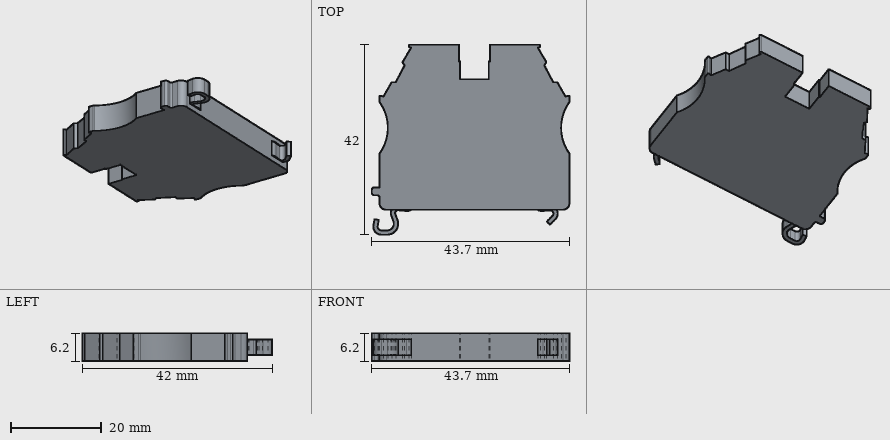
import cadquery as cq
import math

BODY_THICKNESS = 6.2
BODY_HALF_WIDTH = 21.0
BODY_HEIGHT = 36.5
BASE_CORNER_RADIUS = 1.5

SHOULDER_CORNERS = [
    (BODY_HALF_WIDTH, 25.3, 0.2),
    (20.1, 25.05, 0),
    (18.3, 28.2, 0),
    (17.4, 28.2, 0),
    (15.45, 31.9, 0),
    (15.9, 32.6, 0),
    (14.0, 35.85, 0),
    (14.5, 35.9, 0.2),
    (14.5, BODY_HEIGHT, 0.25),
]

RECESS_CENTRE_Y = 18.12
RECESS_CHORD = 11.44
RECESS_DEPTH = 1.85
RECESS_UPPER_EDGE_RADIUS = 0.6

SLOT_MOUTH_WIDTH = 6.8
SLOT_INNER_WIDTH = 6.3
SLOT_STEP_Y = 32.8
SLOT_FLOOR_Y = 28.85

TAB_LENGTH = 1.7
TAB_BOTTOM_Y = 3.2
TAB_TOP_Y = 5.0
TAB_TIP_RADIUS = 0.6
TAB_ROOT_RADIUS = 0.4

STRIP_THICKNESS = 1.0
STRIP_WIDTH = 3.5

HOOK_CENTRELINE = [
    (-21.6, -2.1, 0),
    (-22.1, -5.0, 1.3),
    (-16.47, -5.0, 1.95),
    (-18.54, 0.56, 1.1),
    (-14.4, 0.17, 1.4),
    (-13.4, 1.17, 0),
]
CATCH_CENTRELINE = [
    (16.3, -2.92, 0),
    (19.89, 0.69, 1.2),
    (14.4, 0.17, 1.4),
    (13.4, 1.17, 0),
]


def unit_direction(start, end):
    """Unit vector pointing from start to end."""
    length = math.hypot(end[0] - start[0], end[1] - start[1])
    return (end[0] - start[0]) / length, (end[1] - start[1]) / length


def corner_arc(before, corner, after):
    """Start, middle and end points of the arc that rounds a corner."""
    x, y, radius = corner
    ux, uy = unit_direction(corner, before)
    vx, vy = unit_direction(corner, after)
    half_angle = math.acos(ux * vx + uy * vy) / 2
    tangent_length = radius / math.tan(half_angle)
    arc_gap = radius / math.sin(half_angle) - radius
    bx, by = unit_direction((0, 0), (ux + vx, uy + vy))
    start = (x + ux * tangent_length, y + uy * tangent_length)
    middle = (x + bx * arc_gap, y + by * arc_gap)
    end = (x + vx * tangent_length, y + vy * tangent_length)
    return start, middle, end


def rounded_plate(corners, thickness, bottom_z):
    """Extrude a closed outline of (X, Y, corner radius) points."""
    outline = cq.Workplane("XY", origin=(0, 0, bottom_z)).moveTo(*corners[0][:2])
    for index in range(1, len(corners)):
        corner = corners[index]
        if corner[2] > 0:
            after = corners[(index + 1) % len(corners)]
            start, middle, end = corner_arc(corners[index - 1], corner, after)
            outline = outline.lineTo(*start).threePointArc(middle, end)
        else:
            outline = outline.lineTo(*corner[:2])
    return outline.close().extrude(thickness)


def strip_side(centreline, offset):
    """Offset a bent centreline to its left, keeping the bends concentric."""
    side = []
    last = len(centreline) - 1
    for index, (x, y, radius) in enumerate(centreline):
        before = centreline[max(index - 1, 0)]
        here = centreline[index]
        after = centreline[min(index + 1, last)]
        arriving = unit_direction(before, here) if index > 0 else unit_direction(here, after)
        leaving = unit_direction(here, after) if index < last else arriving
        cosine = arriving[0] * leaving[0] + arriving[1] * leaving[1]
        turn = arriving[0] * leaving[1] - arriving[1] * leaving[0]
        miter = offset / (1 + cosine)
        side_x = x - (arriving[1] + leaving[1]) * miter
        side_y = y + (arriving[0] + leaving[0]) * miter
        side_radius = radius - math.copysign(offset, offset * turn) if radius > 0 else 0
        side.append((side_x, side_y, side_radius))
    return side


def make_clip(centreline):
    """Bent strip of constant thickness, centred in the housing thickness."""
    left_side = strip_side(centreline, STRIP_THICKNESS / 2)
    right_side = strip_side(centreline, -STRIP_THICKNESS / 2)
    bottom_z = (BODY_THICKNESS - STRIP_WIDTH) / 2
    return rounded_plate(left_side + right_side[::-1], STRIP_WIDTH, bottom_z)


def make_body():
    """Plate with a release tab on the left and mirrored stepped shoulders."""
    tab_tip_x = -BODY_HALF_WIDTH - TAB_LENGTH
    right_flank = SHOULDER_CORNERS
    left_flank = [(-x, y, radius) for x, y, radius in reversed(SHOULDER_CORNERS)]
    tab = [
        (-BODY_HALF_WIDTH, TAB_TOP_Y, 0),
        (tab_tip_x, TAB_TOP_Y, TAB_TIP_RADIUS),
        (tab_tip_x, TAB_BOTTOM_Y, TAB_TIP_RADIUS),
        (-BODY_HALF_WIDTH, TAB_BOTTOM_Y, TAB_ROOT_RADIUS),
    ]
    base = [
        (0, 0, 0),
        (BODY_HALF_WIDTH, 0, BASE_CORNER_RADIUS),
    ]
    left_base_corner = [(-BODY_HALF_WIDTH, 0, BASE_CORNER_RADIUS)]
    outline = base + right_flank + left_flank + tab + left_base_corner
    return rounded_plate(outline, BODY_THICKNESS, 0)


def make_finger_recesses():
    """Cylinders that scoop a shallow arc out of each flank."""
    radius = ((RECESS_CHORD / 2) ** 2 + RECESS_DEPTH ** 2) / (2 * RECESS_DEPTH)
    centre_x = BODY_HALF_WIDTH - RECESS_DEPTH + radius
    centres = [(side * centre_x, RECESS_CENTRE_Y) for side in (-1, 1)]
    return cq.Workplane("XY").pushPoints(centres).circle(radius).extrude(BODY_THICKNESS)


def make_slot():
    """Through slot in the top edge, slightly wider at its mouth."""
    slot = cq.Workplane("XY")
    for width, floor_y in ((SLOT_INNER_WIDTH, SLOT_FLOOR_Y), (SLOT_MOUTH_WIDTH, SLOT_STEP_Y)):
        depth = BODY_HEIGHT - floor_y
        section = cq.Workplane("XY").center(0, floor_y + depth / 2).rect(width, depth)
        slot = slot.add(section.extrude(BODY_THICKNESS))
    return slot.combine()


def round_recess_upper_edges(plate):
    """Round the edge where each finger recess meets the flank above it."""
    upper_edge_y = RECESS_CENTRE_Y + RECESS_CHORD / 2
    for side in (-1, 1):
        edge_midpoint = (side * BODY_HALF_WIDTH, upper_edge_y, BODY_THICKNESS / 2)
        edge = plate.edges("|Z").edges(cq.NearestToPointSelector(edge_midpoint))
        plate = edge.fillet(RECESS_UPPER_EDGE_RADIUS)
    return plate


body = make_body().cut(make_finger_recesses()).cut(make_slot())
body = round_recess_upper_edges(body)
result = body.union(make_clip(HOOK_CENTRELINE)).union(make_clip(CATCH_CENTRELINE))